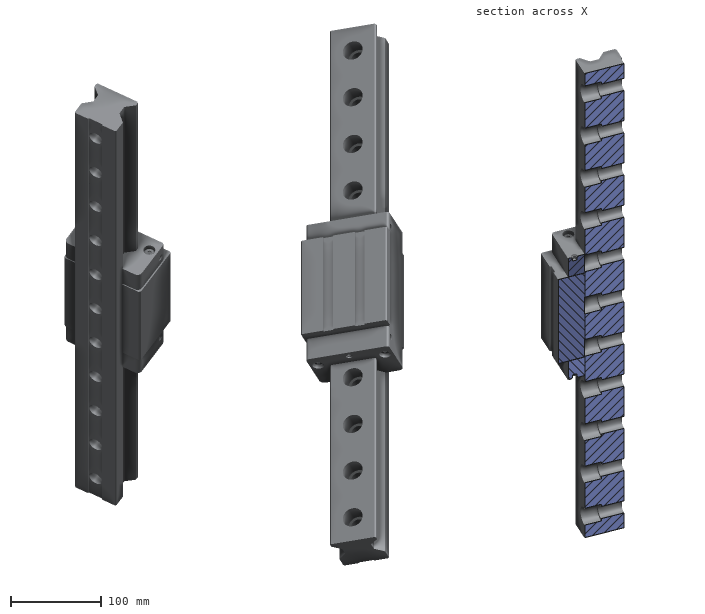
import cadquery as cq

RAIL_LENGTH = 658.0
RAIL_WIDTH = 53.0
RAIL_HEIGHT = 49.0
NECK_WIDTH = 33.5
BASE_TOP = 15.0
NECK_BOTTOM = 24.5
NECK_TOP = 35.0
HEAD_BOTTOM = 43.5
RAIL_CHAMFER = 1.0
GROOVE_WIDTH = 18.0
GROOVE_DEPTH = 1.0
BOLT_COUNT = 11
BOLT_HOLE_DIAMETER = 16.5
COUNTERBORE_DIAMETER = 23.0
COUNTERBORE_DEPTH = 20.0
BOLT_PITCH = RAIL_LENGTH / BOLT_COUNT

CARRIAGE_CENTER_Z = 316.0
BLOCK_LENGTH = 120.0
BLOCK_TOP = 80.0
BLOCK_BOTTOM = 13.0
FLANGE_WIDTH = 100.0
FLANGE_THICKNESS = 12.0
FLANGE_BOTTOM = BLOCK_TOP - FLANGE_THICKNESS
SIDE_STEP = 1.65
BODY_WIDTH = FLANGE_WIDTH - SIDE_STEP
FLANGE_CHAMFER = 1.0
BODY_CHAMFER = 2.0
SLOT_WIDTH = 11.0
SLOT_DEPTH = 2.0
SLOT_OFFSET = 18.5

CAP_LENGTH = 26.0
CAP_WIDTH = FLANGE_WIDTH - 2 * SIDE_STEP
CAP_RAISE = 1.0
CAP_BOTTOM = BLOCK_BOTTOM + CAP_RAISE
CAP_TOP = FLANGE_BOTTOM
CAP_TOP_RADIUS = 3.0
CAP_BOTTOM_RADIUS = 6.0
PORT_HEIGHT = 60.5
PORT_DIAMETER = 4.95
PORT_SINK_DIAMETER = 7.0
PORT_SINK_DEPTH = 1.0
PORT_DEPTH = 5.0
SIDE_PORT_INSET = 16.0
SCREW_OFFSET = 39.0
SCREW_HEIGHT = 52.0
SCREW_RECESS_DIAMETER = 13.0
SCREW_RECESS_DEPTH = 6.0
SCREW_HEAD_DIAMETER = 10.0
SCREW_HEAD_HEIGHT = 2.0
SCREW_SOCKET_DIAMETER = 4.95
SCREW_SOCKET_DEPTH = 1.0


def rail_profile():
    """Closed rail cross-section, without groove, on the XY plane."""
    half = RAIL_WIDTH / 2
    neck = NECK_WIDTH / 2
    right_side = [
        (half - RAIL_CHAMFER, 0),
        (half, RAIL_CHAMFER),
        (half, BASE_TOP),
        (neck, NECK_BOTTOM),
        (neck, NECK_TOP),
        (half, HEAD_BOTTOM),
        (half, RAIL_HEIGHT - RAIL_CHAMFER),
        (half - RAIL_CHAMFER, RAIL_HEIGHT),
    ]
    left_side = [(-x, y) for x, y in reversed(right_side)]
    return cq.Workplane("XY").polyline(right_side + left_side).close()


def make_rail_blank():
    return rail_profile().extrude(RAIL_LENGTH)


def make_rail():
    groove = cq.Workplane("XY").box(
        GROOVE_WIDTH, 2 * GROOVE_DEPTH, RAIL_LENGTH, centered=(True, True, False)
    )
    rail = make_rail_blank().cut(groove)
    for index in range(BOLT_COUNT):
        z = (index + 0.5) * BOLT_PITCH
        top_plane = cq.Workplane("XZ", origin=(0, RAIL_HEIGHT, z))
        hole = top_plane.circle(BOLT_HOLE_DIAMETER / 2).extrude(RAIL_HEIGHT)
        counterbore = top_plane.circle(COUNTERBORE_DIAMETER / 2).extrude(COUNTERBORE_DEPTH)
        rail = rail.cut(hole).cut(counterbore)
    return rail


def box_between(width, bottom, top, length):
    """Box centred on X, spanning the given Y heights, standing on Z = 0."""
    return cq.Workplane("XY", origin=(0, (bottom + top) / 2, 0)).rect(width, top - bottom).extrude(length)


def make_block():
    flange = box_between(FLANGE_WIDTH, FLANGE_BOTTOM, BLOCK_TOP, BLOCK_LENGTH)
    flange = flange.faces(">Y").edges("|Z").chamfer(FLANGE_CHAMFER)
    body = box_between(BODY_WIDTH, BLOCK_BOTTOM, FLANGE_BOTTOM, BLOCK_LENGTH)
    body = body.faces("<Y").edges("|Z").chamfer(BODY_CHAMFER)
    body = body.translate((SIDE_STEP / 2, 0, 0))
    block = flange.union(body)
    for side in (-1, 1):
        slot = box_between(SLOT_WIDTH, BLOCK_TOP - SLOT_DEPTH, BLOCK_TOP, BLOCK_LENGTH)
        block = block.cut(slot.translate((side * SLOT_OFFSET, 0, 0)))
    block = block.cut(make_rail_blank())
    return block.translate((0, 0, CARRIAGE_CENTER_Z - BLOCK_LENGTH / 2))


def make_port(plane):
    """Cutter for a stepped grease port, running along the plane normal."""
    sink = plane.circle(PORT_SINK_DIAMETER / 2).extrude(PORT_SINK_DEPTH)
    return plane.circle(PORT_DIAMETER / 2).extrude(PORT_DEPTH).union(sink)


def make_screw_recess(x):
    """Cutter that leaves a sunk screw head with a hexagon socket in the outer end face."""
    face = cq.Workplane("XY", origin=(x, SCREW_HEIGHT, CAP_LENGTH))
    recess = face.circle(SCREW_RECESS_DIAMETER / 2).extrude(-SCREW_RECESS_DEPTH)
    floor = face.workplane(offset=-SCREW_RECESS_DEPTH)
    head = floor.circle(SCREW_HEAD_DIAMETER / 2).extrude(SCREW_HEAD_HEIGHT)
    head_top = floor.workplane(offset=SCREW_HEAD_HEIGHT)
    socket = head_top.polygon(6, SCREW_SOCKET_DIAMETER).extrude(-SCREW_SOCKET_DEPTH)
    return recess.cut(head.cut(socket))


def make_upper_cap():
    """End cap standing on the block's upper end, with its inner face on Z = 0."""
    cap = box_between(CAP_WIDTH, CAP_BOTTOM, CAP_TOP, CAP_LENGTH)
    cap = cap.faces(">Y").edges("|Z").fillet(CAP_TOP_RADIUS)
    cap = cap.faces("<Y").edges("|Z").fillet(CAP_BOTTOM_RADIUS)
    cap = cap.cut(make_rail_blank())

    end_port_plane = cq.Workplane(cq.Plane((0, PORT_HEIGHT, CAP_LENGTH), (1, 0, 0), (0, 0, -1)))
    cap = cap.cut(make_port(end_port_plane))
    for side in (-1, 1):
        side_port_origin = (side * CAP_WIDTH / 2, PORT_HEIGHT, CAP_LENGTH - SIDE_PORT_INSET)
        side_port_plane = cq.Workplane(cq.Plane(side_port_origin, (0, 1, 0), (-side, 0, 0)))
        cap = cap.cut(make_port(side_port_plane))
        cap = cap.cut(make_screw_recess(side * SCREW_OFFSET))
    return cap.translate((0, 0, BLOCK_LENGTH / 2))


def make_caps():
    upper_cap = make_upper_cap()
    caps = []
    for cap in (upper_cap, upper_cap.mirror("XY")):
        caps.append(cap.translate((0, 0, CARRIAGE_CENTER_Z)))
    return caps


rail = make_rail()
block = make_block()
end_caps = make_caps()

result = cq.Compound.makeCompound([rail.val(), block.val(), *[cap.val() for cap in end_caps]])